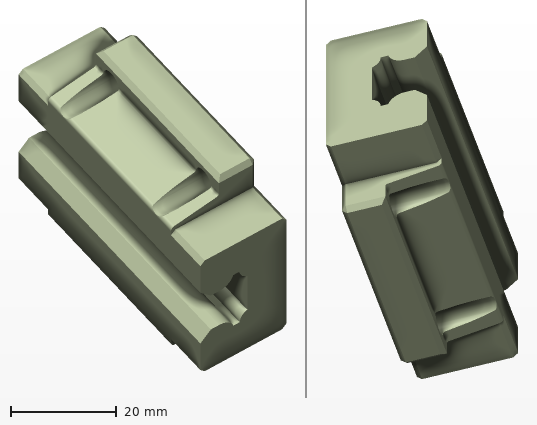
import cadquery as cq
import math

length = 59.0
depth = 20.0
height = 47.0

body_height = 32.0
flange_length = 39.9
flange_front = 11.15
edge_chamfer = 1.0

web_front_half_height = 17.0
web_root_half_height = 18.95
web_front_fillet = 1.0
web_root_fillet = 0.6

lip_half_gap = 4.9
groove_half_gap = 7.3
lip_bevel = groove_half_gap - lip_half_gap
lip_flat_end = 4.4
lip_radius = 3.35
groove_back = 9.15
groove_radius = 2.55
channel_back = 10.9

hole_diameter = 5.0
hole_spacing_x = 30.0
hole_spacing_z = 37.9


def front_box(size_x, size_z, y_start):
    """Box centred in X and Z that runs from y_start to the back face."""
    return cq.Workplane("XY").box(size_x, depth - y_start, size_z).translate((0, (depth + y_start) / 2, 0))


def make_body():
    return front_box(length, body_height, 0).edges("|X").chamfer(edge_chamfer)


def make_flanges():
    flange = front_box(flange_length, height, flange_front)
    return flange.faces(">Z or <Z or >Y").edges().chamfer(edge_chamfer)


def make_webs():
    outline = [
        (0, -web_front_half_height),
        (0, web_front_half_height),
        (flange_front, web_root_half_height),
        (flange_front, -web_root_half_height),
    ]
    web = cq.Workplane("YZ").polyline(outline).close().extrude(flange_length / 2, both=True)
    return web.faces("<Y").edges("|X").fillet(web_front_fillet)


def round_web_roots(part):
    for side in (1, -1):
        root_z = side * web_root_half_height
        root = cq.NearestToPointSelector((0, flange_front, root_z))
        part = part.edges("|X").edges(root).fillet(web_root_fillet)
    return part


def half_channel():
    """Upper half of the rail channel; its lower half is the mirror image."""
    rise = groove_half_gap - lip_half_gap
    lip_angle = math.acos(1 - rise / lip_radius)
    lip_middle = (
        lip_flat_end + lip_radius * math.sin(lip_angle / 2),
        lip_half_gap + lip_radius * (1 - math.cos(lip_angle / 2)),
    )
    lip_end = (lip_flat_end + lip_radius * math.sin(lip_angle), groove_half_gap)

    flank_centre_y = groove_back + groove_radius
    flank_angle = math.acos((flank_centre_y - channel_back) / groove_radius)
    flank_middle = (
        flank_centre_y - groove_radius * math.cos(flank_angle / 2),
        groove_half_gap - groove_radius * math.sin(flank_angle / 2),
    )
    flank_end = (channel_back, groove_half_gap - groove_radius * math.sin(flank_angle))

    profile = (
        cq.Workplane("YZ")
        .moveTo(0, 0)
        .lineTo(0, groove_half_gap)
        .lineTo(lip_bevel, lip_half_gap)
        .lineTo(lip_flat_end, lip_half_gap)
        .threePointArc(lip_middle, lip_end)
        .lineTo(groove_back, groove_half_gap)
        .threePointArc(flank_middle, flank_end)
        .lineTo(channel_back, 0)
        .close()
    )
    return profile.extrude(length / 2, both=True)


def make_holes():
    return (
        cq.Workplane("XZ")
        .rarray(hole_spacing_x, hole_spacing_z, 2, 2)
        .circle(hole_diameter / 2)
        .extrude(-depth)
    )


flanged = round_web_roots(make_flanges().union(make_webs()))
upper_channel = half_channel()
channel = upper_channel.union(upper_channel.mirror("XY"))
result = make_body().union(flanged).cut(channel).cut(make_holes())